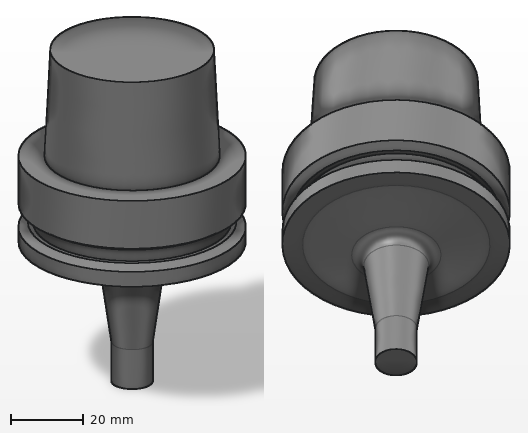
import cadquery as cq
import math

tip_radius = 11.6 / 2
tip_height = 12.0
neck_radius = 9.0
neck_height = 34.6
neck_fillet_radius = 4.6

cone_radius = 25.9

flange_radius = 62.9 / 2
flange_bottom = 42.1
flange_top = 67.9
groove_radius = 54.9 / 2
groove_bottom = 48.1
groove_top = 52.0
groove_chamfer_height = 1.5
groove_chamfer_angle = 60
groove_chamfer_depth = groove_chamfer_height * math.tan(math.radians(groove_chamfer_angle))

total_height = 99.9
taper_base_radius = 24.3
taper_top_radius = 22.7

shank_lean = math.atan2(neck_radius - tip_radius, neck_height - tip_height)
fillet_center_r = neck_radius + neck_fillet_radius * math.cos(shank_lean)
fillet_center_z = neck_height - neck_fillet_radius * math.sin(shank_lean)

edge_dr = cone_radius - fillet_center_r
edge_dz = flange_bottom - fillet_center_z
edge_distance = math.hypot(edge_dr, edge_dz)
edge_direction = math.atan2(edge_dz, edge_dr)
cone_touch_angle = edge_direction + math.acos(neck_fillet_radius / edge_distance)
neck_touch_angle = math.pi - shank_lean


def fillet_point(angle):
    """Point (radius, height) on the neck fillet circle."""
    return (
        fillet_center_r + neck_fillet_radius * math.cos(angle),
        fillet_center_z + neck_fillet_radius * math.sin(angle),
    )


chamfer_radius = flange_radius - groove_chamfer_depth

profile = (
    cq.Workplane("XZ")
    .lineTo(tip_radius, 0)
    .lineTo(tip_radius, tip_height)
    .lineTo(neck_radius, neck_height)
    .threePointArc(
        fillet_point((neck_touch_angle + cone_touch_angle) / 2),
        fillet_point(cone_touch_angle),
    )
    .lineTo(cone_radius, flange_bottom)
    .lineTo(flange_radius, flange_bottom)
    .lineTo(flange_radius, groove_bottom - groove_chamfer_height)
    .lineTo(chamfer_radius, groove_bottom)
    .lineTo(groove_radius, groove_bottom)
    .lineTo(groove_radius, groove_top)
    .lineTo(chamfer_radius, groove_top)
    .lineTo(flange_radius, groove_top + groove_chamfer_height)
    .lineTo(flange_radius, flange_top)
    .lineTo(taper_base_radius, flange_top)
    .lineTo(taper_top_radius, total_height)
    .lineTo(0, total_height)
    .close()
)

result = profile.revolve(360, (0, 0, 0), (0, 1, 0))